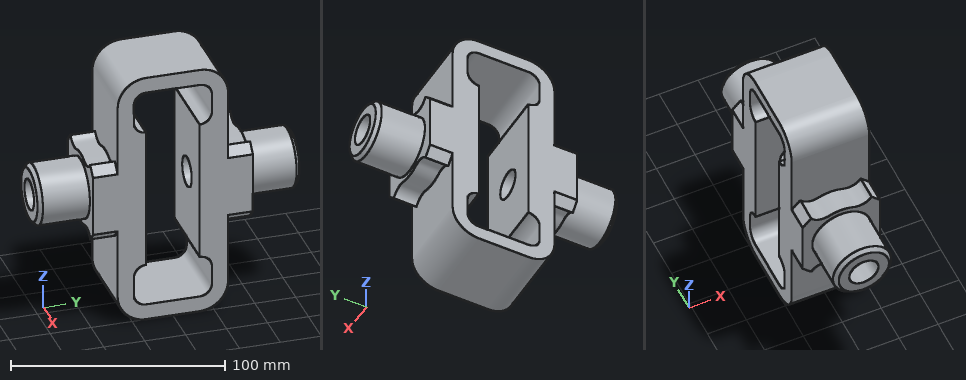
import cadquery as cq
import math

thickness = 40.0
height = 128.0
pin_span = 128.0

frame_width = 54.0
frame_corner_radius = 14.0
wall = 8.0
pocket_height = 21.0
pocket_radius = 6.0
slot_width = frame_width - 2 * wall - 2 * pocket_radius

pad_span = 78.1
pad_edge_height = 15.1
pad_peak_height = 19.7
crest_radius = 18.0
groove_radius = 8.0
groove_center_x = 9.1

pin_diameter = 30.0
pin_chamfer = 2.0
bore_diameter = 15.0


def make_frame():
    """Rounded frame with a rounded pocket at each end and a slot joining them."""
    frame = cq.Workplane("XY").box(thickness, frame_width, height)
    frame = frame.edges("|X").fillet(frame_corner_radius)
    pocket_width = frame_width - 2 * wall
    pocket_center = height / 2 - wall - pocket_height / 2
    for side in (-1, 1):
        pocket = (
            cq.Workplane("XY")
            .box(thickness, pocket_width, pocket_height)
            .edges("|X")
            .fillet(pocket_radius)
            .translate((0, 0, side * pocket_center))
        )
        frame = frame.cut(pocket)
    slot = cq.Workplane("XY").box(thickness, slot_width, 2 * pocket_center)
    return frame.cut(slot)


def make_pad(start, length):
    """Pad along Y: a crest concentric with the pin between two tangent grooves, above and below."""
    half = thickness / 2
    center_distance = crest_radius + groove_radius
    groove_center_z = math.sqrt(center_distance**2 - groove_center_x**2)
    groove_bottom_z = groove_center_z - groove_radius

    tangent_x = groove_center_x * crest_radius / center_distance
    tangent_z = groove_center_z * crest_radius / center_distance

    peak_x = groove_center_x + math.sqrt(groove_radius**2 - (groove_center_z - pad_peak_height) ** 2)

    profile = cq.Workplane("XZ", origin=(0, start + length, 0)).moveTo(-half, -pad_edge_height)
    for turn in (1, -1):
        groove_z = turn * groove_bottom_z
        peak_z = turn * pad_peak_height
        joint_z = turn * tangent_z
        profile = (
            profile.lineTo(-turn * half, turn * pad_edge_height)
            .lineTo(-turn * peak_x, peak_z)
            .threePointArc((-turn * groove_center_x, groove_z), (-turn * tangent_x, joint_z))
            .threePointArc((0, turn * crest_radius), (turn * tangent_x, joint_z))
            .threePointArc((turn * groove_center_x, groove_z), (turn * peak_x, peak_z))
            .lineTo(turn * half, turn * pad_edge_height)
        )
    return profile.close().extrude(length)


def cylinder_along_y(diameter, start, length):
    """Cylinder on the Y axis, running from start towards +Y."""
    return cq.Workplane("XZ", origin=(0, start + length, 0)).circle(diameter / 2).extrude(length)


def make_pin(start, length, end_face):
    """Pin on the Y axis with its outer end chamfered."""
    return cylinder_along_y(pin_diameter, start, length).faces(end_face).chamfer(pin_chamfer)


root = slot_width / 2
pad_length = pad_span / 2 - root
pin_length = pin_span / 2 - root

result = (
    make_frame()
    .union(make_pad(root, pad_length))
    .union(make_pad(-pad_span / 2, pad_length))
    .union(make_pin(root, pin_length, ">Y"))
    .union(make_pin(-pin_span / 2, pin_length, "<Y"))
    .cut(cylinder_along_y(bore_diameter, -pin_span / 2, pin_span))
)